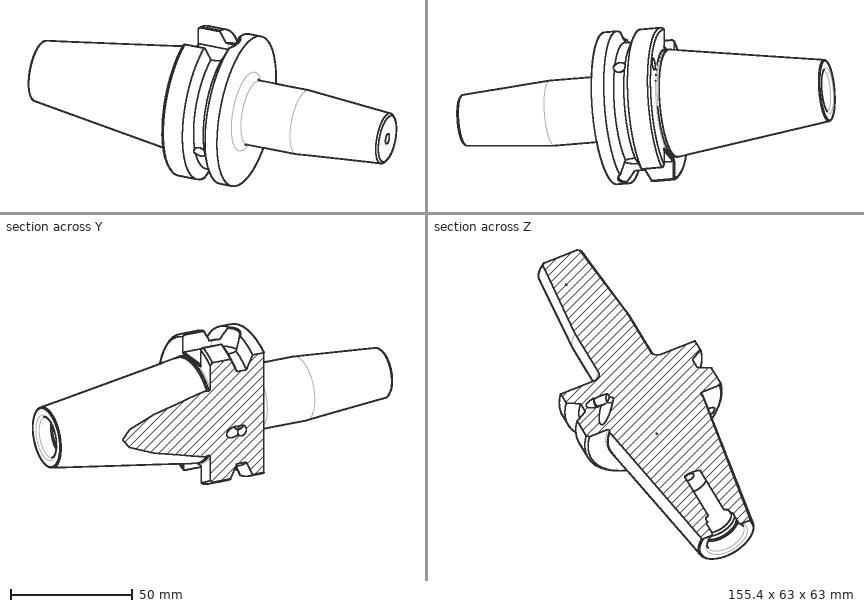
import cadquery as cq
import math


gauge_radius = 44.45 / 2
taper_length = 65.4
taper_overrun = 0.5
taper_ratio = 7 / 48
taper_small_radius = gauge_radius - taper_length * taper_ratio
taper_large_radius = gauge_radius + taper_overrun * taper_ratio
taper_end_chamfer = 0.4
neck_radius = 22.05
neck_fillet = 0.5

flange_radius = 63 / 2
flange_start = 2.0
flange_end = 27.0
flange_chamfer = 1.0

groove_center = 16.6
groove_radius = 53 / 2
groove_floor_width = 4.33
groove_wall_angle = 60
groove_floor_half = groove_floor_width / 2
groove_depth = flange_radius - groove_radius
groove_top_half = groove_floor_half + groove_depth / math.tan(math.radians(groove_wall_angle))

nose_end = 90.0
nose_radius = 27 / 2
nose_root_fillet = 3.0
nose_cone_length = 38.0
nose_cone_angle = 4.5
nose_chamfer = 0.8
nose_cone_start = nose_end - nose_cone_length
nose_tip_radius = nose_radius - nose_cone_length * math.tan(math.radians(nose_cone_angle))

mouth_fillet = 1.0
counterbore_radius = 17 / 2
counterbore_depth = 6.5
thread_major_radius = 16 / 2
thread_countersink_depth = 8.8
thread_bore_radius = 14 / 2
thread_bore_depth = 32.0
coolant_radius = 4.3 / 2
drill_tip_half_angle = 59

slot_width = 16.1
slot_end = 23.3
slot_floor = 22.5
slot_rim_chamfer = 0.4
slot_mouth_chamfer = 0.5

port_angle = 20
port_face_radius = 27.0
port_diameter = 4.2
port_tilt = 40
plug_diameter = 5.0
plug_seat_radius = 20.5
plug_passage_diameter = 4.2

overshoot = 1.0


def turned_body():
    """Solid of revolution: taper, flange with V-groove, and nose."""
    profile = (
        cq.Workplane("XY")
        .moveTo(-taper_length, 0)
        .lineTo(-taper_length, taper_small_radius)
        .lineTo(taper_overrun, taper_large_radius)
        .lineTo(taper_overrun, neck_radius)
        .lineTo(flange_start - neck_fillet, neck_radius)
        .radiusArc((flange_start, neck_radius + neck_fillet), -neck_fillet)
        .lineTo(flange_start, flange_radius - flange_chamfer)
        .lineTo(flange_start + flange_chamfer, flange_radius)
        .lineTo(groove_center - groove_top_half, flange_radius)
        .lineTo(groove_center - groove_floor_half, groove_radius)
        .lineTo(groove_center + groove_floor_half, groove_radius)
        .lineTo(groove_center + groove_top_half, flange_radius)
        .lineTo(flange_end, flange_radius)
        .lineTo(flange_end, nose_radius + nose_root_fillet)
        .radiusArc((flange_end + nose_root_fillet, nose_radius), -nose_root_fillet)
        .lineTo(nose_cone_start, nose_radius)
        .lineTo(nose_end, nose_tip_radius)
        .lineTo(nose_end, 0)
        .close()
    )
    body = profile.revolve(360, (0, 0, 0), (1, 0, 0))
    body = body.faces(">X").edges().chamfer(nose_chamfer)
    return body.faces("<X").edges().chamfer(taper_end_chamfer)


def center_bore():
    """Pull-stud bore with a drill-point bottom, and the coolant hole through the nose."""
    back = -taper_length
    shoulder = back + counterbore_depth
    shoulder_chamfer = counterbore_radius - thread_major_radius
    countersink = back + thread_countersink_depth
    countersink_length = thread_major_radius - thread_bore_radius
    bottom = back + thread_bore_depth
    tip_length = (thread_bore_radius - coolant_radius) / math.tan(math.radians(drill_tip_half_angle))
    profile = (
        cq.Workplane("XY")
        .moveTo(back, 0)
        .lineTo(back, counterbore_radius + mouth_fillet)
        .radiusArc((back + mouth_fillet, counterbore_radius), -mouth_fillet)
        .lineTo(shoulder, counterbore_radius)
        .lineTo(shoulder + shoulder_chamfer, thread_major_radius)
        .lineTo(countersink, thread_major_radius)
        .lineTo(countersink + countersink_length, thread_bore_radius)
        .lineTo(bottom, thread_bore_radius)
        .lineTo(bottom + tip_length, coolant_radius)
        .lineTo(nose_end, coolant_radius)
        .lineTo(nose_end, 0)
        .close()
    )
    return profile.revolve(360, (0, 0, 0), (1, 0, 0))


def drive_slot():
    """Round-ended key slot on the +Z side of the flange, open towards the taper."""
    half = slot_width / 2
    arc_center = slot_end - half
    return (
        cq.Workplane("XY", origin=(0, 0, slot_floor))
        .moveTo(flange_start - overshoot, -half)
        .lineTo(arc_center, -half)
        .threePointArc((slot_end, 0), (arc_center, half))
        .lineTo(flange_start - overshoot, half)
        .close()
        .extrude(flange_radius - slot_floor + overshoot)
    )


def floor_mouth_chamfer():
    """Wedge that bevels the floor edge of the slot at the flange face."""
    return (
        cq.Workplane("XZ", origin=(0, slot_width / 2, 0))
        .moveTo(flange_start, slot_floor - slot_mouth_chamfer)
        .lineTo(flange_start + slot_mouth_chamfer, slot_floor)
        .lineTo(flange_start, slot_floor)
        .close()
        .extrude(slot_width)
    )


def side_mouth_chamfer():
    """Tapered block that bevels both side edges of the slot at the flange face."""
    half = slot_width / 2
    wide = half + slot_mouth_chamfer
    inner_x = flange_start + slot_mouth_chamfer
    return (
        cq.Workplane("XY", origin=(0, 0, slot_floor))
        .polyline([(flange_start, -wide), (inner_x, -half), (inner_x, half), (flange_start, wide)])
        .close()
        .extrude(flange_radius - slot_floor + overshoot)
    )


def chamfer_slot_rims(body):
    """Bevel the slot edges that lie on the outer surface of the flange."""
    half = slot_width / 2
    rim_z = math.sqrt(flange_radius**2 - half**2)
    rear_x = groove_center - groove_top_half - overshoot
    picks = [(rear_x, side * half, turn * rim_z) for side in (-1, 1) for turn in (-1, 1)]
    picks += [(slot_end, 0, turn * flange_radius) for turn in (-1, 1)]
    for pick in picks:
        body = body.edges(cq.selectors.NearestToPointSelector(pick)).chamfer(slot_rim_chamfer)
    return body


def cylinder(diameter, start, end):
    """Round cutter between two points."""
    axis = cq.Vector(*end) - cq.Vector(*start)
    return cq.Workplane(cq.Solid.makeCylinder(diameter / 2, axis.Length, cq.Vector(*start), axis))


def coolant_port():
    """Inclined hole from the flange face, met by a stepped radial hole from the V-groove (+Y side)."""
    slope = math.tan(math.radians(port_tilt))
    meeting_radius = port_face_radius - (groove_center - flange_start) * slope
    meeting = (groove_center, meeting_radius, 0)
    entry = (flange_start - overshoot, port_face_radius + overshoot * slope, 0)
    seat = (groove_center, plug_seat_radius, 0)
    groove_mouth = (groove_center, groove_radius + overshoot, 0)
    port = (
        cylinder(port_diameter, entry, meeting)
        .union(cylinder(plug_diameter, seat, groove_mouth))
        .union(cylinder(plug_passage_diameter, meeting, seat))
    )
    return turned(port, port_angle)


def turned(shape, angle):
    """Shape turned about the holder axis."""
    return shape.rotate((0, 0, 0), (1, 0, 0), angle)


result = turned_body().cut(center_bore())
for half_turn in (0, 180):
    result = result.cut(turned(drive_slot(), half_turn))
result = chamfer_slot_rims(result)
for half_turn in (0, 180):
    result = result.cut(turned(floor_mouth_chamfer(), half_turn))
    result = result.cut(turned(coolant_port(), half_turn))
result = result.cut(turned(side_mouth_chamfer(), 180))